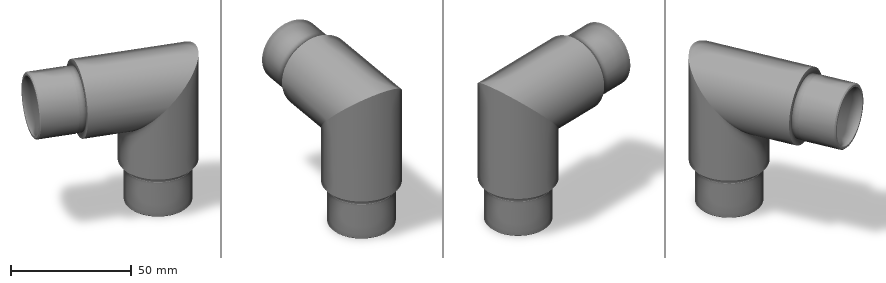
import cadquery as cq

overall_length = 72.0
tube_diameter = 33.7
spigot_diameter = 28.6
neck_diameter = 28.2
bore_diameter = 25.6
spigot_length = 20.0
neck_length = 2.95
tip_chamfer = 0.5

tube_radius = tube_diameter / 2
tip_distance = overall_length - tube_radius
shoulder_distance = tip_distance - spigot_length
neck_end_distance = shoulder_distance + neck_length


def cylinder_down(diameter, start, end):
    """Cylinder on the Z axis between two distances below the origin."""
    return cq.Workplane("XY").workplane(offset=-end).circle(diameter / 2).extrude(end - start)


def mitre_wedge():
    """Space on the lower leg's side of the 45 degree mitre plane z = y."""
    reach = 2 * overall_length
    return (
        cq.Workplane("YZ")
        .polyline([(-reach, -reach), (reach, reach), (reach, -reach)])
        .close()
        .extrude(tube_diameter, both=True)
    )


def lower_leg():
    """Hollow leg pointing to -Z, cut off at the mitre plane."""
    tube = cylinder_down(tube_diameter, -tube_radius, shoulder_distance)
    neck = cylinder_down(neck_diameter, shoulder_distance, neck_end_distance)
    spigot = cylinder_down(spigot_diameter, neck_end_distance, tip_distance)
    spigot = spigot.faces("<Z").chamfer(tip_chamfer)
    bore = cylinder_down(bore_diameter, -tube_radius, tip_distance)
    return tube.union(neck).union(spigot).cut(bore).intersect(mitre_wedge())


leg_down = lower_leg()
leg_forward = leg_down.mirror("XY").rotate((0, 0, 0), (1, 0, 0), 90)
result = leg_down.union(leg_forward)